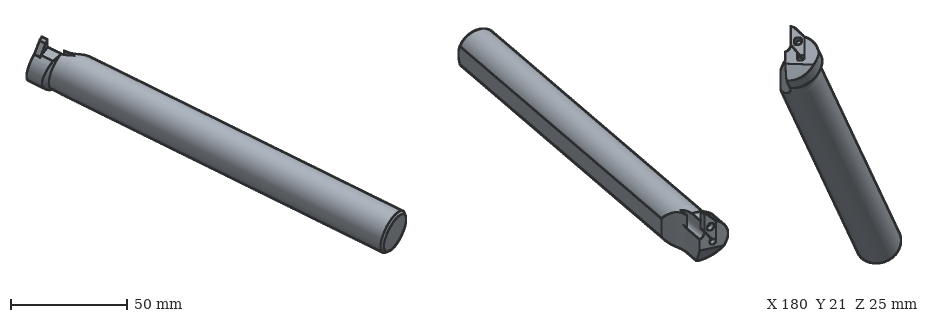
import cadquery as cq
import math

LENGTH = 180.0
WIDTH = 21.0
HEIGHT = 25.0

SHANK_RADIUS = 20.0 / 2
SHANK_FLAT_Y = 8.8
END_CHAMFER = 1.0
NECK_RADIUS = 9.9
NECK_END_X = 15.0
NECK_TAPER = 0.5

HEAD_REACH_Y = SHANK_FLAT_Y - WIDTH
HEAD_SIDE_TOP_Z = 1.8
HEAD_SIDE_BOTTOM_Z = -0.4
HEAD_FULL_X = 8.0
HEAD_END_X = 9.9
SEAT_TOP_EDGE = (-5.2, 9.7)
SEAT_LOWER_EDGE = (-7.5, 8.5)
HEAD_UPPER_BULGE = (-10.5, 5.8)
HEAD_LOWER_BULGE = (-8.8, -6.3)

SCOOP_Y = 2.3
SCOOP_RADIUS = 9.0
SCOOP_EXIT_X = 20.2
SCOOP_ANGLE = math.radians(45)

GULLET_RADIUS = 3.2
GULLET_AXIS_Z = 6.0
GULLET_WALL_Y = 0.0
GULLET_STRAIGHT = 9.4
GULLET_BEND_RADIUS = 8.3

BEVEL_EDGE_Z = -3.2
BEVEL_EDGE_ANGLE = 8.5
BEVEL_ANGLE = 20.0

INSERT_THICKNESS = 3.0
INSERT_TIP_Z = HEIGHT - SHANK_RADIUS
TIP_LAND_WIDTH = 1.8
TIP_LAND_DROP = 0.9
RAKE_BOTTOM_Z = 6.1
INSERT_BACK_Y = -6.1
INSERT_BACK_Z = 9.2
INSERT_FOOT_Y = -4.1
INSERT_FOOT_Z = 0.4
INSERT_HOLE_RADIUS = 1.8
INSERT_HOLE_CENTER = (-3.2, 7.4)
RELIEF_RADIUS = 1.6
RELIEF_CENTER_Z = -0.5

OVERSIZE = 72.0


def revolve_about_x(points):
    """Revolve a closed (x, radius) outline about the shank axis."""
    return cq.Workplane("XY").polyline(points).close().revolve(360, (0, 0, 0), (1, 0, 0))


def big_cube():
    return cq.Workplane("XY").box(OVERSIZE, OVERSIZE, OVERSIZE)


def make_shank():
    return revolve_about_x([
        (0, 0),
        (0, NECK_RADIUS),
        (NECK_END_X, NECK_RADIUS),
        (NECK_END_X + NECK_TAPER, SHANK_RADIUS),
        (LENGTH - END_CHAMFER, SHANK_RADIUS),
        (LENGTH, SHANK_RADIUS - END_CHAMFER),
        (LENGTH, 0),
    ])


def make_head():
    section = (
        cq.Workplane("YZ")
        .moveTo(0, SHANK_RADIUS)
        .lineTo(*SEAT_TOP_EDGE)
        .lineTo(*SEAT_LOWER_EDGE)
        .threePointArc(HEAD_UPPER_BULGE, (HEAD_REACH_Y, HEAD_SIDE_TOP_Z))
        .lineTo(HEAD_REACH_Y, HEAD_SIDE_BOTTOM_Z)
        .threePointArc(HEAD_LOWER_BULGE, (0, -SHANK_RADIUS))
        .threePointArc((SHANK_RADIUS, 0), (0, SHANK_RADIUS))
        .close()
        .extrude(HEAD_END_X)
    )
    full_radius = math.hypot(HEAD_REACH_Y, HEAD_SIDE_TOP_Z)
    fading_cone = revolve_about_x([
        (0, 0),
        (0, full_radius),
        (HEAD_FULL_X, full_radius),
        (HEAD_END_X, NECK_RADIUS),
        (HEAD_END_X, 0),
    ])
    return section.intersect(fading_cone)


def make_flat_cut():
    """Block that leaves the flat along the +Y side of the shank."""
    return cq.Workplane("XY").box(LENGTH, OVERSIZE, OVERSIZE, centered=(False, False, True)).translate(
        (0, SHANK_FLAT_Y, 0)
    )


def make_scoop():
    """Flat relief that rises through an arc and a tangent ramp to the shank flat."""
    arc_end_y = SCOOP_Y + SCOOP_RADIUS * (1 - math.cos(SCOOP_ANGLE))
    arc_end_x = SCOOP_EXIT_X - (SHANK_FLAT_Y - arc_end_y) / math.tan(SCOOP_ANGLE)
    arc_start_x = arc_end_x - SCOOP_RADIUS * math.sin(SCOOP_ANGLE)
    arc_middle = (
        arc_start_x + SCOOP_RADIUS * math.sin(SCOOP_ANGLE / 2),
        SCOOP_Y + SCOOP_RADIUS * (1 - math.cos(SCOOP_ANGLE / 2)),
    )
    return (
        cq.Workplane("XY")
        .moveTo(0, SCOOP_Y)
        .lineTo(arc_start_x, SCOOP_Y)
        .threePointArc(arc_middle, (arc_end_x, arc_end_y))
        .lineTo(SCOOP_EXIT_X, SHANK_FLAT_Y)
        .lineTo(0, SHANK_FLAT_Y)
        .close()
        .extrude(OVERSIZE, both=True)
    )


def gullet_section(offset_x):
    floor_y = GULLET_WALL_Y + GULLET_RADIUS
    floor_z = GULLET_AXIS_Z - GULLET_RADIUS
    arc_shift = GULLET_RADIUS * math.cos(math.radians(45))
    return (
        cq.Workplane("YZ", origin=(offset_x, 0, 0))
        .moveTo(GULLET_WALL_Y, INSERT_TIP_Z)
        .lineTo(GULLET_WALL_Y, GULLET_AXIS_Z)
        .threePointArc((floor_y - arc_shift, GULLET_AXIS_Z - arc_shift), (floor_y, floor_z))
        .lineTo(floor_y, INSERT_TIP_Z)
        .close()
    )


def make_gullet():
    """Round-bottomed channel that runs back along X and bends out toward +Y, ending at the scoop flat."""
    bend_axis_y = GULLET_WALL_Y + GULLET_BEND_RADIUS
    straight = gullet_section(0).extrude(GULLET_STRAIGHT)
    bend = gullet_section(GULLET_STRAIGHT).revolve(90, (bend_axis_y, 0, 0), (bend_axis_y, 1, 0))
    inner_side = big_cube().translate((0, SCOOP_Y - OVERSIZE / 2, 0))
    return straight.union(bend).intersect(inner_side)


def make_bevel_cut():
    """Block whose upper face slopes back under the front face."""
    block = big_cube().translate((-OVERSIZE / 2, 0, 0))
    return (
        block
        .rotate((0, 0, 0), (0, 1, 0), -BEVEL_ANGLE)
        .intersect(big_cube().translate((0, 0, -OVERSIZE / 2)))
        .rotate((0, 0, 0), (1, 0, 0), BEVEL_EDGE_ANGLE)
        .translate((0, 0, BEVEL_EDGE_Z))
    )


def make_insert_blank():
    return (
        cq.Workplane("YZ")
        .polyline([
            (0, INSERT_TIP_Z),
            (0, RAKE_BOTTOM_Z),
            (INSERT_FOOT_Y, INSERT_FOOT_Z),
            (INSERT_BACK_Y, INSERT_FOOT_Z),
            (INSERT_BACK_Y, INSERT_BACK_Z),
            (-TIP_LAND_WIDTH, INSERT_TIP_Z - TIP_LAND_DROP),
        ])
        .close()
        .extrude(INSERT_THICKNESS)
    )


def make_insert():
    hole = cq.Workplane("YZ").center(*INSERT_HOLE_CENTER).circle(INSERT_HOLE_RADIUS).extrude(INSERT_THICKNESS)
    return make_insert_blank().cut(hole)


def make_seat_relief():
    """Round-ended slot below the foot of the insert."""
    center_y = INSERT_BACK_Y + RELIEF_RADIUS
    slot_height = INSERT_FOOT_Z + RELIEF_RADIUS - RELIEF_CENTER_Z
    rounded_end = (
        cq.Workplane("YZ").center(center_y, RELIEF_CENTER_Z).circle(RELIEF_RADIUS).extrude(INSERT_THICKNESS)
    )
    sides = (
        cq.Workplane("YZ")
        .center(center_y, RELIEF_CENTER_Z + slot_height / 2)
        .rect(2 * RELIEF_RADIUS, slot_height)
        .extrude(INSERT_THICKNESS)
    )
    return rounded_end.union(sides)


def make_holder():
    return (
        make_shank()
        .union(make_head())
        .cut(make_flat_cut())
        .cut(make_scoop())
        .cut(make_gullet())
        .cut(make_bevel_cut())
        .cut(make_insert_blank())
        .cut(make_seat_relief())
    )


holder = make_holder()
insert = make_insert()
result = cq.Compound.makeCompound([holder.solids().val(), insert.solids().val()])